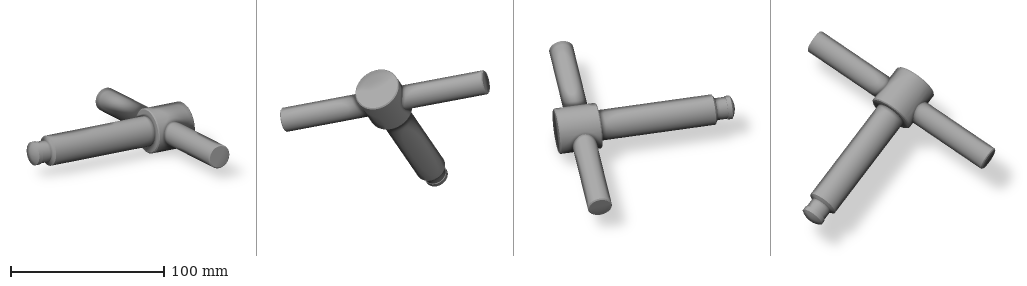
import cadquery as cq

bar_length = 140.0
bar_diameter = 16.0
bar_chamfer = 0.7

head_diameter = 30.0
head_length = 28.0
head_back = 16.0
head_chamfer = 0.7

overall_length = 118.0
shaft_diameter = 20.0
shoulder_length = 1.7
neck_diameter = 14.4
neck_length = 6.9
tip_diameter = 15.5
tip_length = 3.0
dome_height = 2.5

dome_start = overall_length - dome_height
tip_start = dome_start - tip_length
neck_start = tip_start - neck_length
shoulder_start = neck_start - shoulder_length

dome_radius = ((tip_diameter / 2) ** 2 + dome_height**2) / (2 * dome_height)


def make_head():
    """Round head with chamfered rims."""
    head = cq.Workplane("XZ", origin=(0, head_back, 0)).circle(head_diameter / 2).extrude(head_length)
    return head.faces("<Y or >Y").chamfer(head_chamfer)


def make_spindle():
    """Shaft, tapered shoulder, neck and domed tip, revolved about Y."""
    shaft_radius = shaft_diameter / 2
    neck_radius = neck_diameter / 2
    tip_radius = tip_diameter / 2

    dome_mid_radius = tip_radius / 2
    dome_mid_drop = dome_radius - (dome_radius**2 - dome_mid_radius**2) ** 0.5

    profile = (
        cq.Workplane("XY", origin=(0, head_back, 0))
        .moveTo(0, -head_length / 2)
        .lineTo(shaft_radius, -head_length / 2)
        .lineTo(shaft_radius, -shoulder_start)
        .lineTo(neck_radius, -neck_start)
        .lineTo(neck_radius, -tip_start)
        .lineTo(tip_radius, -tip_start)
        .lineTo(tip_radius, -dome_start)
        .threePointArc((dome_mid_radius, -overall_length + dome_mid_drop), (0, -overall_length))
        .close()
    )
    return profile.revolve(360, (0, 0, 0), (0, 1, 0))


def make_bar():
    """Cross bar with chamfered ends."""
    bar = cq.Workplane("YZ").circle(bar_diameter / 2).extrude(bar_length / 2, both=True)
    return bar.faces("<X or >X").chamfer(bar_chamfer)


result = make_head().union(make_spindle()).union(make_bar())